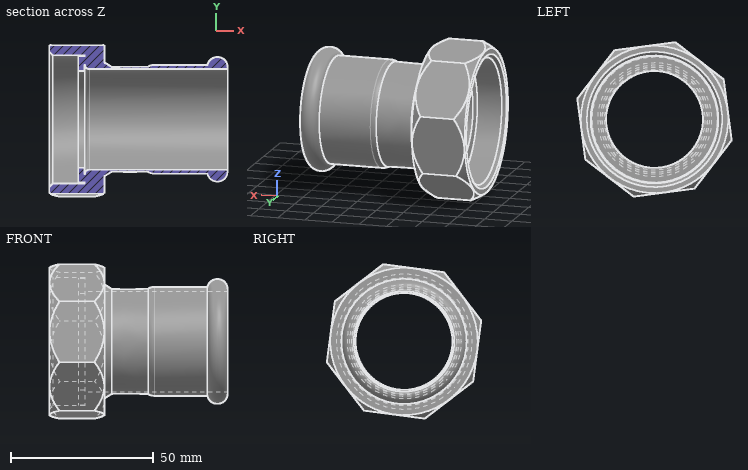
import cadquery as cq
import math

TOTAL_LENGTH = 62.8

NUT_SIDES = 8
NUT_ACROSS_FLATS = 52.0
NUT_LENGTH = 19.5
NUT_TURN = 15.0
NUT_FACE_DIAMETER = 51.8
NUT_CHAMFER_ANGLE = 32.0
NUT_BORE_DIAMETER = 45.0
NUT_MOUTH_CHAMFER = 1.3

GASKET_X = 10.2
GASKET_THICKNESS = 2.3
GASKET_OUTER_DIAMETER = 44.5
GASKET_INNER_DIAMETER = 34.0

TUBE_BORE_DIAMETER = 35.4
BORE_ENTRY_RADIUS = 1.5
COLLAR_DIAMETER = 40.1
NECK_X = 22.0
NECK_DIAMETER = 37.0
STEP_X = 34.8
STEP_DIAMETER = 37.2
SOCKET_X = 36.9
SOCKET_DIAMETER = 38.4

BEAD_DIAMETER = 44.0
BEAD_SECTION_RADIUS = 3.65


def cylinder(diameter, x_start, x_end):
    return cq.Workplane("YZ").workplane(offset=x_start).circle(diameter / 2).extrude(x_end - x_start)


def revolve_about_x(profile):
    return profile.close().revolve(360, (0, 0, 0), (1, 0, 0))


def make_nut():
    corner_diameter = NUT_ACROSS_FLATS / math.cos(math.pi / NUT_SIDES)
    octagon = cq.Workplane("YZ").polygon(NUT_SIDES, corner_diameter).extrude(NUT_LENGTH)
    octagon = octagon.rotate((0, 0, 0), (1, 0, 0), NUT_TURN)

    face_radius = NUT_FACE_DIAMETER / 2
    middle_x = NUT_LENGTH / 2
    middle_radius = face_radius + middle_x * math.tan(math.radians(NUT_CHAMFER_ANGLE))
    double_cone = revolve_about_x(
        cq.Workplane("XY")
        .lineTo(0, face_radius)
        .lineTo(middle_x, middle_radius)
        .lineTo(NUT_LENGTH, face_radius)
        .lineTo(NUT_LENGTH, 0)
    )
    return octagon.intersect(double_cone)


def make_tube():
    step_radius = STEP_DIAMETER / 2
    socket_radius = SOCKET_DIAMETER / 2
    step_length = SOCKET_X - STEP_X
    step_height = socket_radius - step_radius
    round_radius = (step_length**2 + step_height**2) / (2 * step_height)
    bead_center_x = TOTAL_LENGTH - BEAD_SECTION_RADIUS
    return revolve_about_x(
        cq.Workplane("XY")
        .moveTo(NUT_LENGTH, 0)
        .lineTo(NUT_LENGTH, COLLAR_DIAMETER / 2)
        .lineTo(NECK_X, NECK_DIAMETER / 2)
        .lineTo(STEP_X, step_radius)
        .radiusArc((SOCKET_X, socket_radius), round_radius)
        .lineTo(bead_center_x, socket_radius)
        .lineTo(bead_center_x, 0)
    )


def make_bead():
    center_x = TOTAL_LENGTH - BEAD_SECTION_RADIUS
    center_radius = BEAD_DIAMETER / 2 - BEAD_SECTION_RADIUS
    section = cq.Workplane("XY").moveTo(center_x, center_radius).circle(BEAD_SECTION_RADIUS)
    return section.revolve(360, (0, 0, 0), (1, 0, 0))


def make_nut_cavity():
    bore_radius = NUT_BORE_DIAMETER / 2
    gasket_end_x = GASKET_X + GASKET_THICKNESS
    cavity = revolve_about_x(
        cq.Workplane("XY")
        .lineTo(0, bore_radius + NUT_MOUTH_CHAMFER)
        .lineTo(NUT_MOUTH_CHAMFER, bore_radius)
        .lineTo(gasket_end_x, bore_radius)
        .lineTo(gasket_end_x, 0)
    )
    gasket = cylinder(GASKET_OUTER_DIAMETER, GASKET_X, gasket_end_x)
    return cavity.cut(gasket)


def make_bore():
    bore_radius = TUBE_BORE_DIAMETER / 2
    gasket_end_x = GASKET_X + GASKET_THICKNESS
    tube_bore = revolve_about_x(
        cq.Workplane("XY")
        .moveTo(gasket_end_x, 0)
        .lineTo(gasket_end_x, bore_radius + BORE_ENTRY_RADIUS)
        .radiusArc((gasket_end_x + BORE_ENTRY_RADIUS, bore_radius), -BORE_ENTRY_RADIUS)
        .lineTo(TOTAL_LENGTH, bore_radius)
        .lineTo(TOTAL_LENGTH, 0)
    )
    return tube_bore.union(cylinder(GASKET_INNER_DIAMETER, GASKET_X, gasket_end_x))


result = make_nut().union(make_tube()).union(make_bead())
result = result.cut(make_nut_cavity()).cut(make_bore())